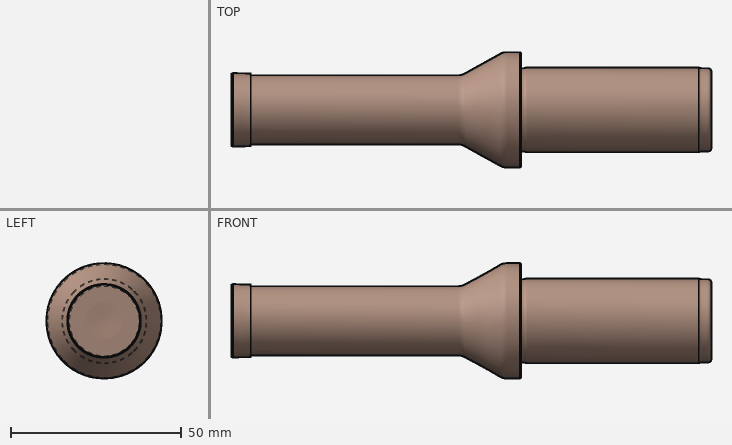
import cadquery as cq

total_length = 141.0

head_length = 5.6
head_diameter = 21.7
head_back_diameter = 21.5
head_edge_length = 0.5
head_edge_depth = 0.3
tip_cone_diameter = 10.9
tip_cone_depth = 0.3

neck_diameter = 20.5
neck_end = 66.7

cone_start = 68.8
cone_start_diameter = 21.7
cone_end = 79.1
cone_end_diameter = 33.1
rim_start = 80.8
collar_diameter = 34.0
collar_back = 85.2
collar_chamfer = 0.4

shank_diameter = 25.0
relief_diameter = 24.5
relief_end = 85.9
shank_start = 86.7
shank_end = 137.2
shank_end_bevel = 0.4
bevel_diameter = 24.7
end_land_start = 138.0
end_round_radius = 1.1


def revolve_about_x(profile):
    """Turn a closed XY profile a full revolution about the X axis."""
    return profile.close().revolve(360, (0, 0, 0), (1, 0, 0))


def make_cutting_head():
    """Back-tapered head with a shallow conical dimple in its tip face."""
    head_radius = head_diameter / 2
    profile = (
        cq.Workplane("XY")
        .moveTo(tip_cone_depth, 0)
        .lineTo(0, tip_cone_diameter / 2)
        .lineTo(0, head_radius - head_edge_depth)
        .lineTo(head_edge_length, head_radius)
        .lineTo(head_length, head_back_diameter / 2)
        .lineTo(head_length, 0)
    )
    return revolve_about_x(profile)


def make_holder():
    """Neck, conical collar and shank, turned as one body behind the head."""
    neck_radius = neck_diameter / 2
    collar_radius = collar_diameter / 2
    shank_radius = shank_diameter / 2
    relief_radius = relief_diameter / 2
    bevel_radius = bevel_diameter / 2
    cone_direction = (cone_end - cone_start, (cone_end_diameter - cone_start_diameter) / 2)
    profile = (
        cq.Workplane("XY")
        .moveTo(head_length, 0)
        .lineTo(head_length, neck_radius)
        .lineTo(neck_end, neck_radius)
        .tangentArcPoint((cone_start, cone_start_diameter / 2), relative=False)
        .lineTo(cone_end, cone_end_diameter / 2)
        .spline(
            [(rim_start, collar_radius)],
            tangents=[cone_direction, (1, 0)],
            includeCurrent=True,
        )
        .lineTo(collar_back - collar_chamfer, collar_radius)
        .lineTo(collar_back, collar_radius - collar_chamfer)
        .lineTo(collar_back, relief_radius)
        .lineTo(relief_end, relief_radius)
        .lineTo(shank_start, shank_radius)
        .lineTo(shank_end, shank_radius)
        .lineTo(shank_end + shank_end_bevel, bevel_radius)
        .lineTo(end_land_start, relief_radius)
        .lineTo(total_length - end_round_radius, relief_radius)
        .tangentArcPoint((total_length, relief_radius - end_round_radius), relative=False)
        .lineTo(total_length, 0)
    )
    return revolve_about_x(profile)


cutting_head = make_cutting_head()
holder = make_holder()
result = cq.Compound.makeCompound([cutting_head.val(), holder.val()])